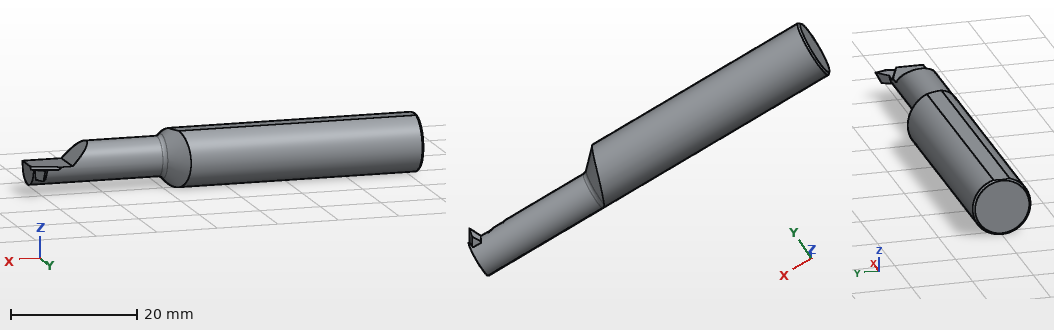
import cadquery as cq
import math

length = 63.5
shank_radius = 4.75
rear_chamfer = 0.3
shank_flat_z = 4.6

neck_radius = 3.25
neck_axis_y = -1.8
shoulder_end_x = 41.8
shoulder_fillet = 1.0
half_shoulder_angle = math.radians(45 / 2)

tip_flat_z = 0.0
tip_flat_start_x = 57.1

tooth_tip = (62.15, 3.4)
tooth_root = (60.95, 1.3)
tooth_front_y = 1.3
tooth_core_y = -1.3
tooth_height = 1.9
tooth_relief_angle = 15.0

rake_start = (59.3, 1.3)
rake_end = (length, -0.4)
rake_wall_run = 0.2
rake_lead_in = 1.3
rake_depth = 0.45
rake_rise_width = 3.1
cut_margin = 3.2


def make_shank():
    return cq.Workplane("YZ").circle(shank_radius).extrude(length).faces("<X").chamfer(rear_chamfer)


def make_neck_envelope():
    """Solid of revolution on the neck axis, wide behind the shoulder and slim ahead of it."""
    outer_radius = 2 * shank_radius
    shoulder_start_x = shoulder_end_x - (outer_radius - neck_radius)
    tangent = shoulder_fillet * math.tan(half_shoulder_angle)
    diagonal = tangent * math.sqrt(0.5)
    fillet_mid_x = shoulder_end_x + tangent - shoulder_fillet * math.sin(half_shoulder_angle)
    fillet_mid_r = neck_radius + shoulder_fillet * (1 - math.cos(half_shoulder_angle))
    profile = (
        cq.Workplane("XY")
        .moveTo(0, 0)
        .lineTo(0, outer_radius)
        .lineTo(shoulder_start_x, outer_radius)
        .lineTo(shoulder_end_x - diagonal, neck_radius + diagonal)
        .threePointArc((fillet_mid_x, fillet_mid_r), (shoulder_end_x + tangent, neck_radius))
        .lineTo(length, neck_radius)
        .lineTo(length, 0)
        .close()
    )
    return profile.revolve(360, (0, 0, 0), (1, 0, 0)).translate((0, neck_axis_y, 0))


def make_shank_flat_cut():
    """Tool for the flat along the top of the shank."""
    return (
        cq.Workplane("XY", origin=(0, 0, shank_flat_z))
        .rect(2 * length, 2 * shank_radius)
        .extrude(cut_margin)
    )


def make_tip_cut():
    """Tool clearing the upper half of the tip, with a 45 degree run-out."""
    return (
        cq.Workplane("XZ")
        .moveTo(tip_flat_start_x, tip_flat_z)
        .lineTo(length + cut_margin, tip_flat_z)
        .lineTo(length + cut_margin, shank_radius)
        .lineTo(tip_flat_start_x - shank_radius, shank_radius)
        .close()
        .extrude(shank_radius + cut_margin, both=True)
    )


def make_tooth():
    """Pointed tooth whose flanks draw in below the cutting edge."""
    outline = [
        (tooth_root[0], tooth_core_y),
        tooth_root,
        tooth_tip,
        (length, tooth_front_y),
        (length, tooth_core_y),
    ]
    return (
        cq.Workplane("XY", origin=(0, 0, tip_flat_z))
        .polyline(outline)
        .close()
        .extrude(-tooth_height, taper=tooth_relief_angle)
    )


def make_rake_cut():
    """Tool for the tilted rake face: steep inner wall, then a plane rising to the tooth tip."""
    run = cq.Vector(rake_end[0] - rake_start[0], rake_end[1] - rake_start[1], 0)
    across = cq.Vector(-run.y, run.x, 0)
    groove_plane = cq.Plane(origin=(*rake_start, tip_flat_z), xDir=across, normal=run)
    return (
        cq.Workplane(groove_plane)
        .polyline([(0, 0), (rake_wall_run, -rake_depth), (rake_rise_width, 0)])
        .close()
        .extrude(run.Length + cut_margin)
        .translate(-run.normalized() * rake_lead_in)
    )


body = make_shank().intersect(make_neck_envelope())
body = body.cut(make_shank_flat_cut()).cut(make_tip_cut())
result = body.union(make_tooth()).cut(make_rake_cut())